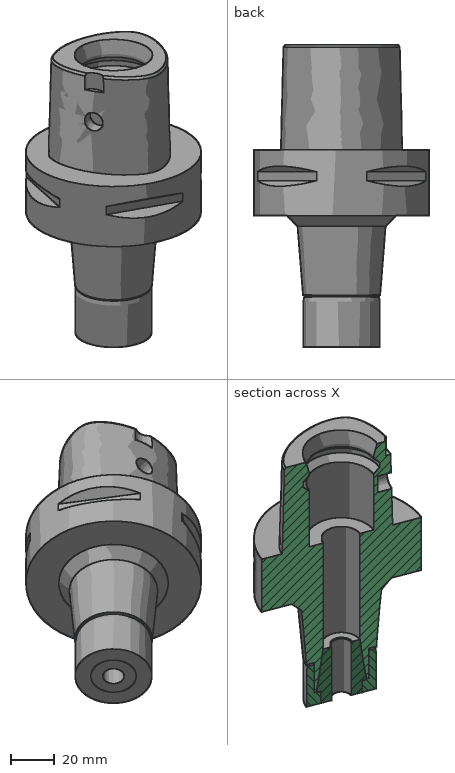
import math

import cadquery as cq

total_height = 138.0
flange_top = 90.0
flange_bottom = 60.0
collar_bottom = 55.0
shaft_bottom = 23.7
nut_top = 22.9

flange_radius = 40.0
collar_top_radius = 25.0
shaft_top_radius = 20.1
shaft_bottom_radius = 17.7
neck_radius = 13.8

shank_mean_diameter = 55.6
shank_mean_radius = shank_mean_diameter / 2
shank_lobe_count = 3
shank_lobe_height = 2.1
shank_taper = 1 / 40
shank_chamfer_height = 1.2
shank_chamfer_width = 0.8
outline_point_count = 36

lead_in_radius = 17.8
bore_radius = 16.0
groove_radius = 19.0
lead_in_depth = 6.5
lip_end_depth = 8.0
groove_end_depth = 16.7
groove_flank = groove_radius - bore_radius
bore_floor = flange_top
through_bore_radius = 9.1

notch_radius = 6.0
notch_depth = 8.0
notch_back_y = -22.2
side_hole_radius = 4.4
side_hole_height = 115.0
side_hole_depth = 6.9

slot_count = 4
slot_floor_distance = 35.2
slot_floor_height = 4.0
slot_center_height = 78.0
slot_flank_angle = 28.0

nut_radius = 17.5
nut_chamfer_height = 2.1
nut_chamfer_width = 0.4

collet_height = 30.4
socket_mouth_height = 6.9
collet_taper_angle = 8.0
collet_nose_radius = 10.4
collet_bore_radius = 4.8
collet_bore_chamfer = 0.4

collet_seat_length = collet_height - socket_mouth_height
collet_large_radius = through_bore_radius + collet_seat_length * math.tan(math.radians(collet_taper_angle))


def revolved(points):
    """Turn a closed profile of (radius, z) points about the Z axis."""
    return cq.Workplane("XZ").polyline(points).close().revolve(360, (0, 0), (0, 1))


def lobed_outline(mean_radius, z):
    """Closed three-lobed curve of constant width, with one lobe pointing to +Y.

    Reach is the distance from the axis to the tangent line whose normal is at the given angle.
    """
    points = []
    for index in range(outline_point_count):
        angle = 2 * math.pi * index / outline_point_count - math.pi / 2
        reach = mean_radius - shank_lobe_height * math.sin(shank_lobe_count * angle)
        slope = -shank_lobe_count * shank_lobe_height * math.cos(shank_lobe_count * angle)
        x = reach * math.cos(angle) - slope * math.sin(angle)
        y = reach * math.sin(angle) + slope * math.cos(angle)
        points.append(cq.Vector(x, y, z))
    return cq.Wire.assembleEdges([cq.Edge.makeSpline(points, periodic=True)])


def make_shank():
    chamfer_start = total_height - shank_chamfer_height
    upper_radius = shank_mean_radius - shank_taper * (chamfer_start - flange_top)
    base = lobed_outline(shank_mean_radius, flange_top)
    shoulder = lobed_outline(upper_radius, chamfer_start)
    tip = lobed_outline(upper_radius - shank_chamfer_width, total_height)
    taper = cq.Solid.makeLoft([base, shoulder], True)
    chamfer = cq.Solid.makeLoft([shoulder, tip], True)
    return cq.Workplane(taper).union(cq.Workplane(chamfer))


def make_turned_outside():
    """Flange, conical collar, tapered shaft and the spigot that enters the nut."""
    return revolved([
        (0, socket_mouth_height),
        (neck_radius, socket_mouth_height),
        (neck_radius, shaft_bottom),
        (shaft_bottom_radius, shaft_bottom),
        (shaft_top_radius, collar_bottom),
        (collar_top_radius, flange_bottom),
        (flange_radius, flange_bottom),
        (flange_radius, flange_top),
        (0, flange_top),
    ])


def make_shank_bore():
    return revolved([
        (0, bore_floor),
        (bore_radius, bore_floor),
        (bore_radius, total_height - groove_end_depth),
        (groove_radius, total_height - groove_end_depth + groove_flank),
        (groove_radius, total_height - lip_end_depth - groove_flank),
        (bore_radius, total_height - lip_end_depth),
        (bore_radius, total_height - lead_in_depth),
        (lead_in_radius, total_height),
        (0, total_height),
    ])


def make_collet_socket():
    return revolved([
        (0, socket_mouth_height),
        (collet_large_radius, socket_mouth_height),
        (through_bore_radius, collet_height),
        (through_bore_radius, bore_floor),
        (0, bore_floor),
    ])


def make_notch():
    """Round-backed groove that runs down from the end face."""
    notch_floor = cq.Workplane("XY").workplane(offset=total_height - notch_depth)
    return notch_floor.center(0, notch_back_y - notch_radius).circle(notch_radius).extrude(notch_depth)


def make_side_hole():
    """Blind round hole, drilled toward the axis from between two lobes."""
    surface_radius = shank_mean_radius - shank_taper * (side_hole_height - flange_top)
    surface_y = shank_lobe_height - surface_radius
    wall_plane = cq.Plane(
        origin=(0, surface_y + side_hole_depth, side_hole_height), xDir=(1, 0, 0), normal=(0, -1, 0)
    )
    return cq.Workplane(wall_plane).circle(side_hole_radius).extrude(2 * side_hole_depth)


def make_gripper_slot(angle):
    """V-shaped slot with a flat floor, cut straight across the rim of the flange."""
    slot_depth = flange_radius - slot_floor_distance
    floor_half = slot_floor_height / 2
    mouth_half = floor_half + slot_depth * math.tan(math.radians(slot_flank_angle))
    slot = (
        cq.Workplane("XZ")
        .polyline([
            (slot_floor_distance, slot_center_height - floor_half),
            (flange_radius, slot_center_height - mouth_half),
            (flange_radius, slot_center_height + mouth_half),
            (slot_floor_distance, slot_center_height + floor_half),
        ])
        .close()
        .extrude(flange_radius, both=True)
    )
    return slot.rotate((0, 0, 0), (0, 0, 1), angle)


def make_holder():
    holder = make_turned_outside().union(make_shank())
    holder = holder.cut(make_shank_bore()).cut(make_collet_socket())
    holder = holder.cut(make_notch()).cut(make_side_hole())
    slot_spacing = 360 / slot_count
    for index in range(slot_count):
        holder = holder.cut(make_gripper_slot((index + 0.5) * slot_spacing))
    return holder.solids()


def make_nut():
    """Cap that fits over the spigot, with a hole in its end for the nose of the collet."""
    return revolved([
        (collet_nose_radius, 0),
        (nut_radius, 0),
        (nut_radius, nut_top - nut_chamfer_height),
        (nut_radius - nut_chamfer_width, nut_top),
        (neck_radius, nut_top),
        (neck_radius, socket_mouth_height),
        (collet_nose_radius, socket_mouth_height),
    ])


def make_collet():
    """Tapered sleeve that fills the socket, with a straight nose flush with the nut."""
    return revolved([
        (collet_bore_radius, 0),
        (collet_nose_radius, 0),
        (collet_nose_radius, socket_mouth_height),
        (collet_large_radius, socket_mouth_height),
        (through_bore_radius, collet_height),
        (collet_bore_radius + collet_bore_chamfer, collet_height),
        (collet_bore_radius, collet_height - collet_bore_chamfer),
    ])


holder = make_holder()
nut = make_nut()
collet = make_collet()
result = cq.Compound.makeCompound([holder.val(), nut.val(), collet.val()])